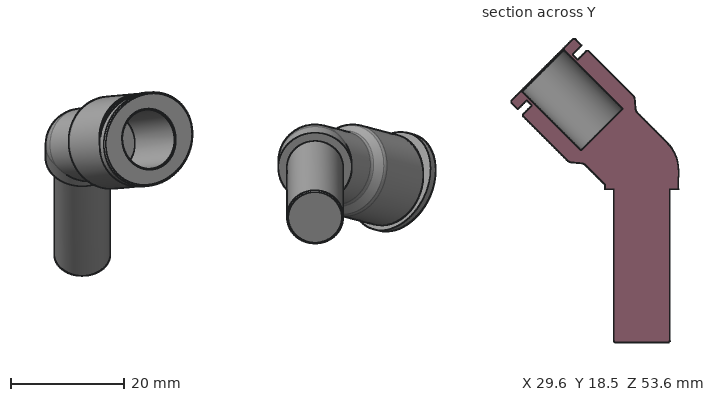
import cadquery as cq
import math

total_height = 53.55
bend_angle = 45.0

stem_radius = 5.0
stem_length = 27.05
stem_chamfer = 0.25
elbow_diameter = 13.0
elbow_radius = elbow_diameter / 2
elbow_height = 30.5

body_diameter = 16.35
body_radius = body_diameter / 2
cone_start = 8.0
cone_end = 9.95
cone_blend = 1.0
body_end = 21.7
body_rim_chamfer = 0.2

neck_radius = 5.75
flange_gap = 1.3
flange_width = 18.5
flange_half_depth = 8.0
flange_chamfer = 0.25

bore_radius = 5.2
bore_chamfer = 0.2

flange_start = body_end + flange_gap

bend = math.radians(bend_angle)
flange_top_half_depth = flange_half_depth - flange_chamfer
flange_end = (total_height - elbow_height - flange_top_half_depth * math.sin(bend)) / math.cos(bend)


def make_stem():
    """Plain solid plug, chamfered at its free end and running up inside the collar."""
    stem = cq.Workplane("XY").circle(stem_radius).extrude(elbow_height)
    return stem.faces("<Z").chamfer(stem_chamfer)


def make_elbow():
    """Collar capped by a half ball that rounds the outside of the bend."""
    collar = cq.Workplane("XY", origin=(0, 0, stem_length)).circle(elbow_radius)
    collar = collar.extrude(elbow_height - stem_length)
    dome = cq.Workplane("XY", origin=(0, 0, elbow_height)).sphere(elbow_radius, angle1=0)
    return collar.union(dome)


def make_arm():
    """Slim tube, conical shoulder blended at both ends, and the wide body."""
    profile = (
        cq.Workplane("XZ")
        .lineTo(elbow_radius, 0)
        .lineTo(elbow_radius, cone_start)
        .lineTo(body_radius, cone_end)
        .lineTo(body_radius, body_end)
        .lineTo(0, body_end)
        .close()
    )
    arm = profile.revolve(360, (0, 0), (0, 1))
    shoulder_edges = arm.faces("%CONE").edges("%CIRCLE")
    arm = shoulder_edges.fillet(cone_blend)
    return arm.faces(">Z").edges().chamfer(body_rim_chamfer)


def make_button():
    """Round neck and oval flange, wide along Y."""
    neck = cq.Workplane("XY", origin=(0, 0, body_end)).circle(neck_radius).extrude(flange_gap)
    flange = cq.Workplane("XY", origin=(0, 0, flange_start))
    flange = flange.ellipse(flange_half_depth, flange_width / 2).extrude(flange_end - flange_start)
    flange = flange.faces(">Z").chamfer(flange_chamfer)
    return neck.union(flange)


def make_bore():
    """Blind tube socket ending level with the shoulder, with a chamfered mouth."""
    mouth_radius = bore_radius + bore_chamfer
    profile = (
        cq.Workplane("XZ")
        .moveTo(0, cone_end)
        .lineTo(bore_radius, cone_end)
        .lineTo(bore_radius, flange_end - bore_chamfer)
        .lineTo(mouth_radius, flange_end)
        .lineTo(0, flange_end)
        .close()
    )
    return profile.revolve(360, (0, 0), (0, 1))


def tilt_onto_arm(shape):
    """Lean a shape built upright on Z towards +X and move its base to the elbow centre."""
    return shape.rotate((0, 0, 0), (0, 1, 0), bend_angle).translate((0, 0, elbow_height))


arm_with_socket = make_arm().union(make_button()).cut(make_bore())
upper_part = make_elbow().union(tilt_onto_arm(arm_with_socket))

below_collar = cq.Workplane("XY").circle(elbow_radius).extrude(stem_length)
result = make_stem().union(upper_part.cut(below_collar))